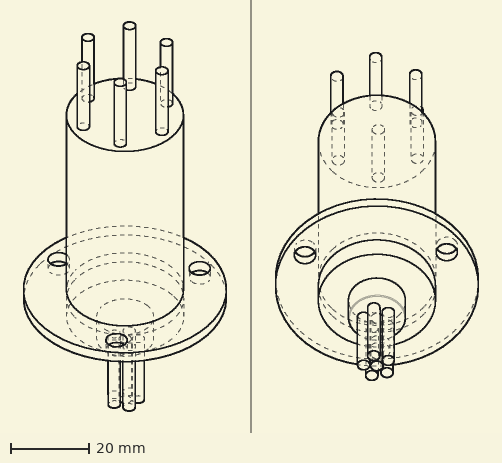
import cadquery as cq

total_height = 113.3
wire_length = 19.9
shaft_length = 7.3
body_bottom = wire_length + shaft_length
body_top = total_height - wire_length
flange_bottom = 33.2
flange_thickness = 3.0

flange_diameter = 52.0
body_diameter = 30.0
shaft_diameter = 14.6
wire_diameter = 3.2
mount_hole_diameter = 5.4

upper_wire_count = 6
lower_wire_count = 5
upper_wire_radius = 11.7
lower_wire_radius = 3.4
lower_wire_start_angle = 180.0
mount_hole_count = 3
mount_hole_radius = 21.0
mount_hole_start_angle = 180.0

shaft_edge_fillet = 0.2
wire_embed = 1.1


def cylinder(diameter, bottom, height):
    return cq.Workplane("XY").workplane(offset=bottom).circle(diameter / 2).extrude(height)


def ring_of_cylinders(count, ring_radius, start_angle, diameter, bottom, height):
    return (
        cq.Workplane("XY")
        .workplane(offset=bottom)
        .polarArray(ring_radius, start_angle, 360, count)
        .circle(diameter / 2)
        .extrude(height)
    )


body = cylinder(body_diameter, body_bottom, body_top - body_bottom)
flange = cylinder(flange_diameter, flange_bottom, flange_thickness)
shaft = cylinder(shaft_diameter, wire_length, shaft_length).faces("<Z").edges().fillet(shaft_edge_fillet)

mount_holes = ring_of_cylinders(
    mount_hole_count, mount_hole_radius, mount_hole_start_angle,
    mount_hole_diameter, flange_bottom, flange_thickness,
)

upper_wires = ring_of_cylinders(
    upper_wire_count, upper_wire_radius, 0, wire_diameter,
    body_top - wire_embed, wire_length + wire_embed,
)
lower_wires = ring_of_cylinders(
    lower_wire_count, lower_wire_radius, lower_wire_start_angle,
    wire_diameter, 0, wire_length + wire_embed,
)

center_wire = cylinder(wire_diameter, 0, wire_length + wire_embed)

result = body.union(flange).union(shaft).cut(mount_holes)
result = result.union(upper_wires).union(lower_wires).union(center_wire)